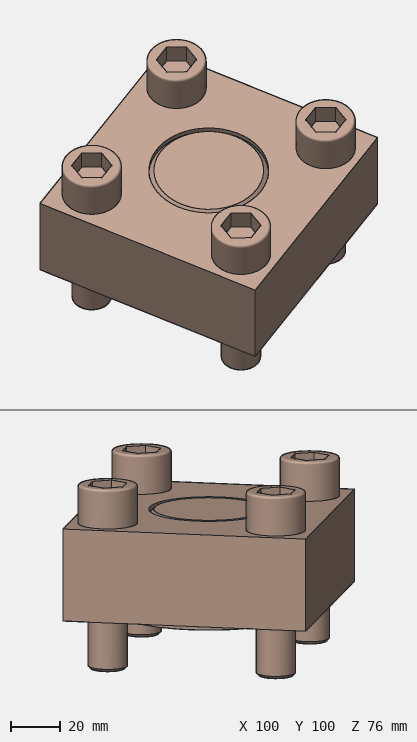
import cadquery as cq
import math

block_side = 100.0
block_height = 38.0

spigot_diameter = 76.0
spigot_height = 4.0

groove_outer_diameter = 48.3
groove_width = 2.0
groove_depth = groove_width

screw_count = 4
bolt_circle_diameter = 98.0
shank_diameter = 16.0
shank_length = 60.0
thread_root_diameter = 13.546
shank_chamfer = (shank_diameter - thread_root_diameter) / 2
head_diameter = 1.5 * shank_diameter
head_height = shank_diameter
head_edge_radius = 1.0
socket_sides = 6
socket_across_flats = 14.0
socket_depth = head_height / 2


def make_flange():
    """Square block with the spigot centred below it."""
    block = cq.Workplane("XY").box(block_side, block_side, block_height, centered=(True, True, False))
    spigot = cq.Workplane("XY").circle(spigot_diameter / 2).extrude(-spigot_height)
    return block.union(spigot)


def make_weld_groove():
    """Ring with a triangular section, widest at the upper face of the block."""
    outer_radius = groove_outer_diameter / 2
    section = (
        cq.Workplane("XZ")
        .moveTo(outer_radius - groove_width, block_height)
        .lineTo(outer_radius, block_height)
        .lineTo(outer_radius, block_height - groove_depth)
        .close()
    )
    return section.revolve(axisStart=(0, 0, 0), axisEnd=(0, 1, 0))


def make_screw():
    """Cap screw on the Z axis, with its head seated on the upper face of the block."""
    seat = cq.Workplane("XY").workplane(offset=block_height)
    shank = seat.circle(shank_diameter / 2).extrude(-shank_length)
    shank = shank.faces("<Z").chamfer(shank_chamfer)
    head = seat.circle(head_diameter / 2).extrude(head_height)
    head = head.faces(">Z").edges().fillet(head_edge_radius)

    socket_across_corners = socket_across_flats / math.cos(math.pi / socket_sides)
    socket = (
        cq.Workplane("XY")
        .polygon(socket_sides, socket_across_corners)
        .extrude(socket_depth)
        .rotate((0, 0, 0), (0, 0, 1), 180 / socket_sides)
        .translate((0, 0, block_height + head_height - socket_depth))
    )
    return shank.union(head).cut(socket)


result = make_flange().cut(make_weld_groove())

screw = make_screw()
bolt_circle_radius = bolt_circle_diameter / 2
for index in range(screw_count):
    angle = 2 * math.pi * (index + 0.5) / screw_count
    x = bolt_circle_radius * math.cos(angle)
    y = bolt_circle_radius * math.sin(angle)
    result = result.union(screw.translate((x, y, 0)))